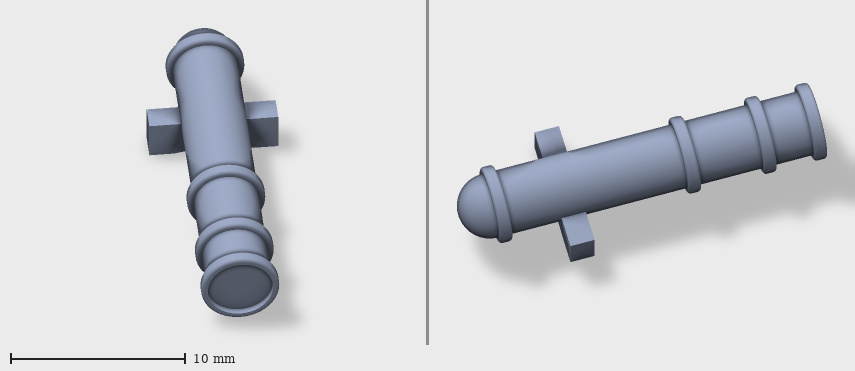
import cadquery as cq

axis_angle = -45
barrel_diameter = 3.75
barrel_radius = barrel_diameter / 2
barrel_length = 19.1

ring_diameter = 4.5
ring_radius = ring_diameter / 2
ring_width = 0.75
ring_fillet = 0.19
muzzle_ring_centre = barrel_length
breech_ring_centre = ring_width / 2
ring_centres = [breech_ring_centre, 11.6, 16.1, muzzle_ring_centre]

cradle_centre = 4.46
cradle_width = 1.45
cradle_length = 7.41
cradle_height = ring_radius
notch_span = 4.62
notch_rise = ring_radius - barrel_radius


def make_barrel():
    """Cylinder along X closed by a hemispherical dome at the breech."""
    profile = (
        cq.Workplane("XY")
        .moveTo(-barrel_radius, 0)
        .radiusArc((0, barrel_radius), barrel_radius)
        .lineTo(barrel_length, barrel_radius)
        .lineTo(barrel_length, 0)
        .close()
    )
    return profile.revolve(360, (0, 0, 0), (1, 0, 0))


def make_ring(centre):
    """Collar on the barrel with both outer rims rounded."""
    collar = (
        cq.Workplane("YZ")
        .workplane(offset=centre - ring_width / 2)
        .circle(ring_radius)
        .extrude(ring_width)
        .edges()
        .fillet(ring_fillet)
    )
    bore = (
        cq.Workplane("YZ")
        .workplane(offset=centre - ring_width / 2)
        .circle(barrel_radius)
        .extrude(ring_width)
    )
    return collar.cut(bore)


def make_cradle():
    """Block reaching out on both sides, with a shallow V notch along its underside."""
    return (
        cq.Workplane("YZ")
        .workplane(offset=cradle_centre - cradle_width / 2)
        .moveTo(-cradle_length / 2, 0)
        .lineTo(-cradle_length / 2, -cradle_height)
        .lineTo(-notch_span / 2, -cradle_height)
        .lineTo(0, notch_rise - cradle_height)
        .lineTo(notch_span / 2, -cradle_height)
        .lineTo(cradle_length / 2, -cradle_height)
        .lineTo(cradle_length / 2, 0)
        .close()
        .extrude(cradle_width)
    )


cannon = make_barrel().union(make_cradle())
for centre in ring_centres:
    cannon = cannon.union(make_ring(centre))

result = cannon.rotate((0, 0, 0), (0, 0, 1), axis_angle)